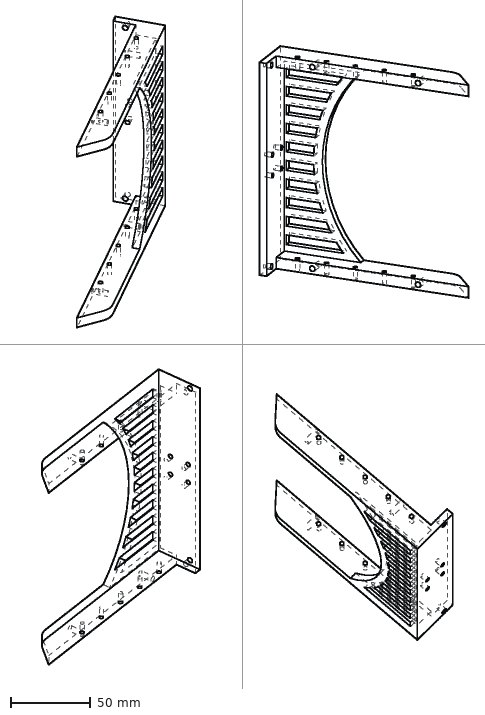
import cadquery as cq
import math

WIDTH = 33.0
LENGTH = 138.0
HEIGHT = 143.23
PLATE_THICKNESS = 5.0
WEB_THICKNESS = 5.0

ARM_INNER_X = 15.0
ARM_SPACING = 128.0
ARM_THICKNESS = (HEIGHT - ARM_SPACING) / 2
ARM_CENTER_Z = (ARM_SPACING + ARM_THICKNESS) / 2
TIP_ANGLE = 40.0
TIP_RADIUS = 11.0

ARCH_RADIUS = ARM_SPACING / math.sqrt(2)
ARCH_DEPTH = 31.2
ARCH_CENTER_Y = -(ARCH_DEPTH + ARCH_RADIUS)

SLOT_COUNT = 10
SLOT_PITCH = 12.5
SLOT_HEIGHT = 6.5
SLOT_START = 6.1
ARCH_RIM = 6.1

MOUNT_HOLE_DIAMETER = 3.6
MOUNT_HOLE_X = 8.0
CENTER_HOLE_DIAMETER = 3.0
CENTER_HOLE_SPACING = 14.0
SIDE_HOLE_DIAMETER = 3.6
SIDE_HOLE_DISTANCES = (30.0, 103.0)
SIDE_HOLE_DEPTH = 10.0
ARM_HOLE_DIAMETER = 2.6
ARM_HOLE_X = 19.0
ARM_HOLE_COUNT = 5
ARM_HOLE_START = 18.0
ARM_HOLE_PITCH = 20.0


def make_plate():
    return cq.Workplane("XY").box(WIDTH, PLATE_THICKNESS, HEIGHT).translate(
        (WIDTH / 2, -PLATE_THICKNESS / 2, 0)
    )


def make_arm(center_z):
    """Bar with a sloped tip that is rounded on its outer side."""
    slope_length = (WIDTH - ARM_INNER_X) * math.tan(math.radians(TIP_ANGLE))
    shoulder_y = -LENGTH + slope_length
    arm = (
        cq.Workplane("XY")
        .workplane(offset=center_z - ARM_THICKNESS / 2)
        .moveTo(ARM_INNER_X, 0)
        .lineTo(WIDTH, 0)
        .lineTo(WIDTH, shoulder_y)
        .lineTo(ARM_INNER_X, -LENGTH)
        .close()
        .extrude(ARM_THICKNESS)
    )
    shoulder = cq.selectors.NearestToPointSelector((WIDTH, shoulder_y, center_z))
    return arm.edges("|Z").edges(shoulder).fillet(TIP_RADIUS)


def arch_cylinder(radius):
    """Cylinder along X around the center of the arch, through the web's thickness."""
    return (
        cq.Workplane("YZ")
        .workplane(offset=WIDTH - WEB_THICKNESS)
        .center(ARCH_CENTER_Y, 0)
        .circle(radius)
        .extrude(WEB_THICKNESS)
    )


def web_bar(start, end, center_z, height):
    """Bar of the web's thickness between two distances from the back face."""
    return cq.Workplane("XY").box(WEB_THICKNESS, end - start, height).translate(
        (WIDTH - WEB_THICKNESS / 2, -(start + end) / 2, center_z)
    )


def make_web():
    arch_end = -ARCH_CENTER_Y - ARM_SPACING / 2
    web = web_bar(0, arch_end, 0, ARM_SPACING).cut(arch_cylinder(ARCH_RADIUS))
    rim_limit = arch_cylinder(ARCH_RADIUS + ARCH_RIM)
    for index in range(SLOT_COUNT):
        slot_z = (index - (SLOT_COUNT - 1) / 2) * SLOT_PITCH
        web = web.cut(web_bar(SLOT_START, arch_end, slot_z, SLOT_HEIGHT).cut(rim_limit))
    return web


def plate_hole(x, z, diameter):
    return cq.Workplane("XZ").center(x, z).circle(diameter / 2).extrude(PLATE_THICKNESS)


def make_plate_holes():
    """Mounting holes at the plate's ends and a square of four holes at its center."""
    offset = CENTER_HOLE_SPACING / 2
    holes = cq.Workplane("XY")
    for side in (-1, 1):
        holes = holes.add(plate_hole(MOUNT_HOLE_X, side * ARM_CENTER_Z, MOUNT_HOLE_DIAMETER))
        for x in (WIDTH / 2 - offset, WIDTH / 2 + offset):
            holes = holes.add(plate_hole(x, side * offset, CENTER_HOLE_DIAMETER))
    return holes.combine()


def make_side_holes(center_z):
    """Blind holes entering the arm's inner side along X."""
    return (
        cq.Workplane("YZ")
        .workplane(offset=ARM_INNER_X)
        .pushPoints([(-distance, center_z) for distance in SIDE_HOLE_DISTANCES])
        .circle(SIDE_HOLE_DIAMETER / 2)
        .extrude(SIDE_HOLE_DEPTH)
    )


def make_arm_holes(center_z):
    """Row of holes through the arm along Z."""
    centers = [
        (ARM_HOLE_X, -(ARM_HOLE_START + index * ARM_HOLE_PITCH)) for index in range(ARM_HOLE_COUNT)
    ]
    return (
        cq.Workplane("XY")
        .workplane(offset=center_z - ARM_THICKNESS / 2)
        .pushPoints(centers)
        .circle(ARM_HOLE_DIAMETER / 2)
        .extrude(ARM_THICKNESS)
    )


result = make_plate().union(make_web())
for arm_z in (-ARM_CENTER_Z, ARM_CENTER_Z):
    result = result.union(make_arm(arm_z))
    result = result.cut(make_side_holes(arm_z)).cut(make_arm_holes(arm_z))
result = result.cut(make_plate_holes()).solids()